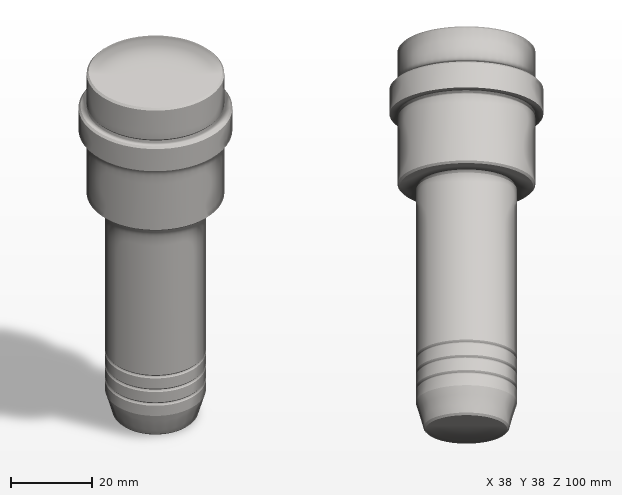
import cadquery as cq

total_height = 100.0
edge_chamfer = 0.5

shaft_radius = 12.5
tip_radius = 10.6
taper_height = 7.0
shaft_groove_heights = (10.5, 14.5, 18.5)

neck_radius = 12.0
neck_bottom = 63.0

body_radius = 17.0
body_bottom = 64.0
flange_radius = 19.0
flange_bottom = 83.0
flange_top = 90.0

groove_depth = 0.4
groove_half_width = 0.5
body_groove_heights = (flange_bottom - groove_half_width, flange_top + groove_half_width)


def disc(radius, bottom, top):
    """Cylinder on the Z axis between two heights."""
    return cq.Workplane("XY").workplane(offset=bottom).circle(radius).extrude(top - bottom)


def cut_v_grooves(solid, radius, heights):
    """Cut a V groove into a cylinder of the given radius at each height."""
    for height in heights:
        groove = (
            cq.Workplane("XZ")
            .moveTo(radius, height - groove_half_width)
            .lineTo(radius - groove_depth, height)
            .lineTo(radius, height + groove_half_width)
            .close()
            .revolve(360, (0, 0, 0), (0, 1, 0))
        )
        solid = solid.cut(groove)
    return solid


def make_shaft():
    """Shaft with a chamfered conical tip and three grooves."""
    shaft = (
        cq.Workplane("XZ")
        .lineTo(tip_radius - edge_chamfer, 0)
        .lineTo(tip_radius, edge_chamfer)
        .lineTo(shaft_radius, taper_height)
        .lineTo(shaft_radius, neck_bottom)
        .lineTo(0, neck_bottom)
        .close()
        .revolve(360, (0, 0, 0), (0, 1, 0))
    )
    return cut_v_grooves(shaft, shaft_radius, shaft_groove_heights)


def make_body():
    """Chamfered body and head, with a groove on each side of the flange."""
    body = disc(body_radius, body_bottom, total_height).faces("<Z or >Z").edges().chamfer(edge_chamfer)
    return cut_v_grooves(body, body_radius, body_groove_heights)


def make_flange():
    """Flange chamfered on its upper rim."""
    return disc(flange_radius, flange_bottom, flange_top).faces(">Z").edges().chamfer(edge_chamfer)


neck = disc(neck_radius, neck_bottom, body_bottom)
result = make_shaft().union(neck).union(make_body()).union(make_flange())